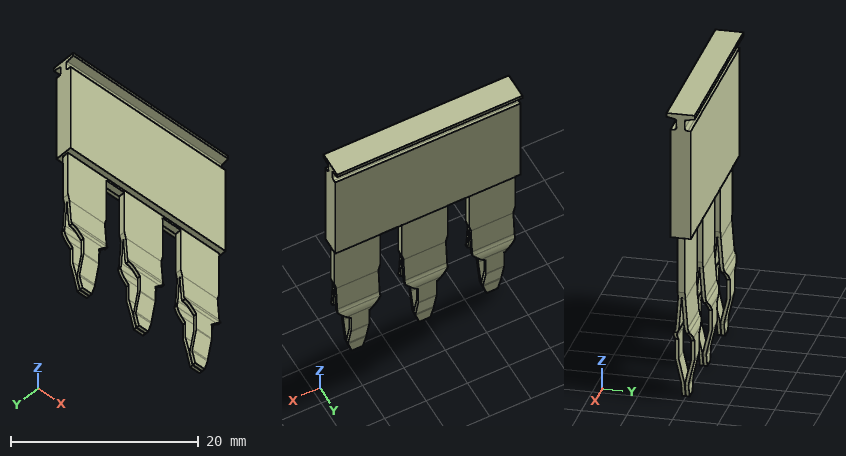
import cadquery as cq
import math

total_height = 33.95

housing_length = 22.4
housing_bottom = 19.5
body_thickness = 2.25
body_top = total_height - 1.87
neck_thickness = 0.9
neck_foot_radius = 0.3
rail_width = 3.1
rail_edge_height = 0.45
rail_root_height = 0.68
rail_root_radius = 0.2

leg_count = 3
leg_pitch = 8.15
sheet_thickness = 0.8
bar_height = 0.35
bar_bottom = housing_bottom - bar_height

shank_width = 5.57
fork_width = 5.13
blade_width = 2.25
tip_width = 1.35
shank_taper_top = 13.07
shank_bottom = 12.25
shoulder_top = 8.25
shoulder_bottom = 6.8
tip_taper_top = 1.53

slit_width = 0.05
arm_thickness = (sheet_thickness - slit_width) / 2
arm_overlap = 0.27
spread_angle = 4.4
knee_angle = 29.0
closing_angle = 13.0
knee_start = 8.85
knee_middle = 8.32
knee_end = 7.4
closing_bend_start = 4.55
closing_bend_end = 4.45
tip_bend_start = 1.75
tip_bend_end = 1.55


def make_housing():
    """Slab, neck and grip rail extruded along X, with rounded neck corners."""
    half_body = body_thickness / 2
    half_neck = neck_thickness / 2
    half_rail = rail_width / 2
    rail_edge = total_height - rail_edge_height
    rail_root = total_height - rail_root_height
    half_section = [
        (half_body, housing_bottom),
        (half_body, body_top),
        (half_neck, body_top),
        (half_neck, rail_root),
        (half_rail, rail_edge),
        (half_rail, total_height),
    ]
    other_half = [(-y, z) for y, z in reversed(half_section)]
    housing = (
        cq.Workplane("YZ")
        .polyline(half_section + other_half)
        .close()
        .extrude(housing_length / 2, both=True)
    )
    for side in (-1, 1):
        foot = cq.selectors.NearestToPointSelector((0, side * half_neck, body_top))
        housing = housing.edges("|X").edges(foot).fillet(neck_foot_radius)
        root = cq.selectors.NearestToPointSelector((0, side * half_neck, rail_root))
        housing = housing.edges("|X").edges(root).fillet(rail_root_radius)
    return housing


def arm_stations():
    """Outer face of the +Y arm from top to tip, as (y, z, outward lean in radians).

    Between two stations the face is straight or a tangent arc, so its chord
    leans by the mean of the two angles.
    """
    levels = [
        (shank_bottom + arm_overlap, spread_angle),
        (knee_start, spread_angle),
        (knee_middle, knee_angle),
        (knee_end, 0),
        (closing_bend_start, 0),
        (closing_bend_end, -closing_angle),
        (tip_bend_start, -closing_angle),
        (tip_bend_end, 0),
        (0, 0),
    ]
    z, degrees = levels[0]
    lean = math.radians(degrees)
    y = sheet_thickness / 2 - arm_overlap * math.tan(lean)
    stations = [(y, z, lean)]
    for next_z, next_degrees in levels[1:]:
        next_lean = math.radians(next_degrees)
        y += (z - next_z) * math.tan((lean + next_lean) / 2)
        z, lean = next_z, next_lean
        stations.append((y, z, lean))
    return stations


def draw_face(sketch, stations):
    """Continue the sketch through the stations with lines and tangent arcs."""
    for (y1, z1, lean1), (y2, z2, lean2) in zip(stations, stations[1:]):
        if lean1 == lean2:
            sketch = sketch.lineTo(y2, z2)
            continue
        chord_lean = (lean1 + lean2) / 2
        travel = math.copysign(1, z1 - z2)
        bulge = travel * math.hypot(y2 - y1, z2 - z1) / 2 * math.tan((lean2 - lean1) / 4)
        middle_y = (y1 + y2) / 2 - bulge * math.cos(chord_lean)
        middle_z = (z1 + z2) / 2 - bulge * math.sin(chord_lean)
        sketch = sketch.threePointArc((middle_y, middle_z), (y2, z2))
    return sketch


def make_arm():
    """The +Y arm of a fork, as wide as the whole leg."""
    outer = arm_stations()
    inner = [
        (y - arm_thickness * math.cos(lean), z - arm_thickness * math.sin(lean), lean)
        for y, z, lean in reversed(outer)
    ]
    sketch = cq.Workplane("YZ").moveTo(*outer[0][:2])
    sketch = draw_face(sketch, outer)
    sketch = sketch.lineTo(*inner[0][:2])
    sketch = draw_face(sketch, inner)
    return sketch.close().extrude(shank_width / 2, both=True)


def make_leg_outline():
    """Width of a leg from bar to tip, as a block deep enough to trim the fork."""
    half_outline = [
        (shank_width / 2, bar_bottom),
        (shank_width / 2, shank_taper_top),
        (fork_width / 2, shank_bottom),
        (fork_width / 2, shoulder_top),
        (blade_width / 2, shoulder_bottom),
        (blade_width / 2, tip_taper_top),
        (tip_width / 2, 0),
    ]
    other_half = [(-x, z) for x, z in reversed(half_outline)]
    return (
        cq.Workplane("XZ")
        .polyline(half_outline + other_half)
        .close()
        .extrude(rail_width / 2, both=True)
    )


def make_leg():
    """Flat shank that splits into two arms, trimmed to the leg outline."""
    shank_height = bar_bottom - shank_bottom
    shank = (
        cq.Workplane("XY")
        .workplane(offset=shank_bottom)
        .box(shank_width, sheet_thickness, shank_height, centered=(True, True, False))
    )
    arm = make_arm()
    return shank.union(arm).union(arm.mirror("XZ")).intersect(make_leg_outline())


def make_comb():
    """Connecting bar under the housing with its row of legs, as one solid."""
    leg_span = (leg_count - 1) * leg_pitch
    comb = (
        cq.Workplane("XY")
        .workplane(offset=bar_bottom)
        .box(leg_span + shank_width, sheet_thickness, bar_height, centered=(True, True, False))
    )
    leg = make_leg()
    for index in range(leg_count):
        comb = comb.union(leg.translate((index * leg_pitch - leg_span / 2, 0, 0)))
    return comb


housing = make_housing()
comb = make_comb()
result = cq.Compound.makeCompound([*housing.solids().vals(), *comb.solids().vals()])